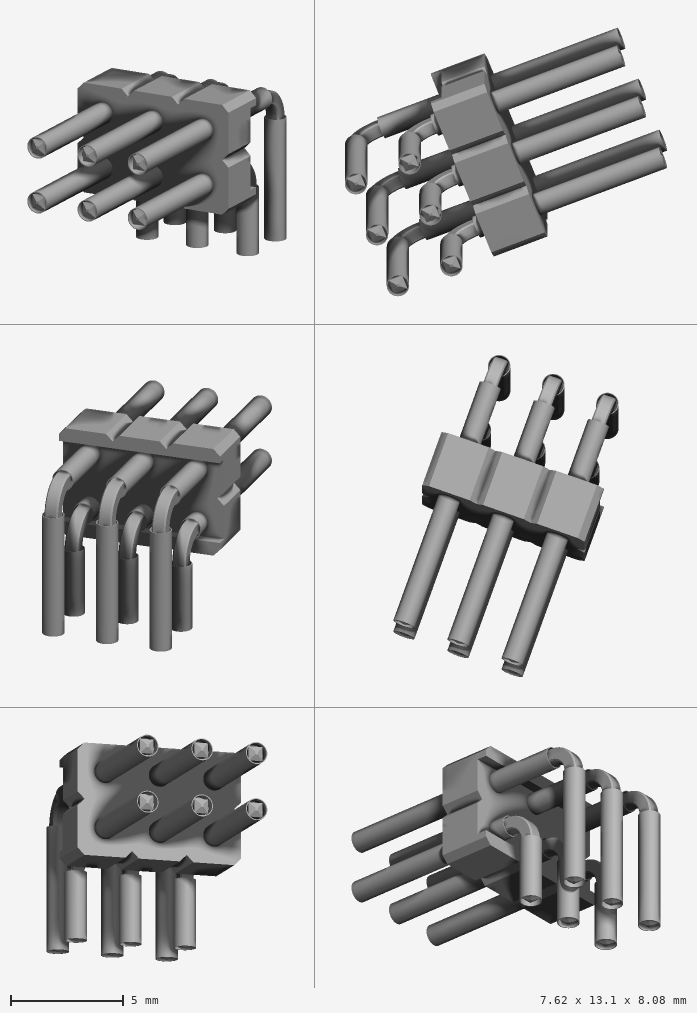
import cadquery as cq


pitch = 2.54
columns = 3
rows = 2

housing_width = columns * pitch
housing_height = rows * pitch
housing_depth = pitch
notch_size = 0.31
lip_height = 0.64
channel_depth = 0.5

leg_diameter = 1.0
wire_width = 0.64
wire_chamfer = 0.07
bend_radius = 1.19
rim_wall = 0.04
rim_depth = 0.52
tip_length = 0.16
tip_flat = 0.12
front_length = 6.0
tail_gap = 1.52
tail_drop = 3.0


def column_x(column):
    return (column - (columns - 1) / 2) * pitch


def row_z(row):
    return (row - (rows - 1) / 2) * pitch


def notch_cutters():
    """Diamond bars along Y at each pitch line around the housing outline."""
    line_xs = [(i - columns / 2) * pitch for i in range(columns + 1)]
    line_zs = [(i - rows / 2) * pitch for i in range(rows + 1)]
    points = [(x, z) for x in line_xs for z in (line_zs[0], line_zs[-1])]
    points += [(x, z) for x in (line_xs[0], line_xs[-1]) for z in line_zs[1:-1]]
    return (
        cq.Workplane("XZ")
        .pushPoints(points)
        .polygon(4, 2 * notch_size)
        .extrude(-housing_depth)
    )


def make_housing():
    block = cq.Workplane("XY").box(
        housing_width, housing_depth, housing_height, centered=(True, False, True)
    )
    block = block.cut(notch_cutters())

    channel = cq.Workplane("XY").box(
        housing_width,
        channel_depth,
        housing_height - 2 * lip_height,
        centered=(True, False, True),
    )
    block = block.cut(channel.translate((0, housing_depth - channel_depth, 0)))

    bore_points = [(column_x(c), row_z(r)) for c in range(columns) for r in range(rows)]
    bores = (
        cq.Workplane("XZ")
        .pushPoints(bore_points)
        .circle(leg_diameter / 2)
        .extrude(-housing_depth)
    )
    return block.cut(bores)


def wire_outline(plane):
    """Square wire section with chamfered corners, centred on the origin of the given plane."""
    half = wire_width / 2
    inset = half - wire_chamfer
    return (
        cq.Workplane(plane)
        .moveTo(-half, -inset)
        .lineTo(-half, inset)
        .lineTo(-inset, half)
        .lineTo(inset, half)
        .lineTo(half, inset)
        .lineTo(half, -inset)
        .lineTo(inset, -half)
        .lineTo(-inset, -half)
        .close()
    )


def make_leg(length):
    """Round leg along +Z, its tip at Z = 0; square wire stands in the hollow of both ends."""
    leg = cq.Workplane("XY").circle(leg_diameter / 2).extrude(length)
    hollow = cq.Workplane("XY").circle(leg_diameter / 2 - rim_wall).extrude(rim_depth)
    leg = leg.cut(hollow)
    leg = leg.cut(hollow.translate((0, 0, length - rim_depth)))

    wire = wire_outline("XY").extrude(length - tip_length).translate((0, 0, tip_length))
    tip = (
        cq.Workplane("XY")
        .rect(tip_flat, tip_flat)
        .workplane(offset=tip_length)
        .rect(wire_width, wire_width)
        .loft()
    )
    return leg.union(wire).union(tip)


def make_bend():
    """Quarter turn of chamfered square wire, from +Y at the origin down to -Z."""
    return wire_outline("XZ").revolve(90, (0, -bend_radius), (-1, -bend_radius))


def make_pin(row):
    """Pin of one row in the plane X = 0."""
    z = row_z(row)
    tail_y = housing_depth + tail_gap + row * pitch
    bend_start_y = tail_y - bend_radius
    tail_bottom_z = -housing_height / 2 - tail_drop

    front_leg = make_leg(front_length + bend_start_y)
    front_leg = front_leg.rotate((0, 0, 0), (1, 0, 0), -90).translate((0, -front_length, z))
    tail_leg = make_leg(z - bend_radius - tail_bottom_z).translate((0, tail_y, tail_bottom_z))
    bend = make_bend().translate((0, bend_start_y, z))
    return front_leg.union(bend).union(tail_leg)


housing = make_housing()

pins = []
for row in range(rows):
    for column in range(columns):
        pins.append(make_pin(row).translate((column_x(column), 0, 0)))

result = cq.Compound.makeCompound([housing.solids().val()] + [pin.solids().val() for pin in pins])